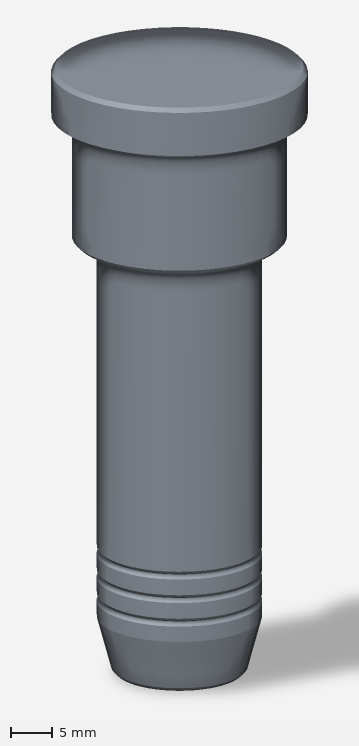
import cadquery as cq
import math

length = 77.0
edge_break = 0.5

head_diameter = 31.0
head_height = 6.0

collar_diameter = 26.0
collar_bottom_depth = 22.0

neck_diameter = 18.9
neck_height = 1.0

shaft_diameter = 20.0
taper_height = 7.0
taper_angle = 15.0

groove_width = 1.0
groove_depth = 0.5
groove_count = 3
groove_pitch = 3.0
lowest_groove_z = 9.5


def disc(diameter, bottom, top):
    """Cylinder about the Z axis between two heights."""
    return cq.Workplane("XY").workplane(offset=bottom).circle(diameter / 2).extrude(top - bottom)


def groove(diameter, center_z):
    """Ring cutter for a V-groove in a cylinder of the given diameter."""
    outer = diameter / 2
    profile = [
        (outer, center_z - groove_width / 2),
        (outer - groove_depth, center_z),
        (outer, center_z + groove_width / 2),
    ]
    return cq.Workplane("XZ").polyline(profile).close().revolve(360, (0, 0), (0, 1))


def tapered_tip():
    """Cone widening from the chamfered end face up to the shaft."""
    shaft_radius = shaft_diameter / 2
    slope = math.tan(math.radians(taper_angle))
    chamfer_radius = shaft_radius - (taper_height - edge_break) * slope
    profile = [
        (0, 0),
        (chamfer_radius - edge_break, 0),
        (chamfer_radius, edge_break),
        (shaft_radius, taper_height),
        (0, taper_height),
    ]
    return cq.Workplane("XZ").polyline(profile).close().revolve(360, (0, 0), (0, 1))


head_bottom = length - head_height
collar_bottom = length - collar_bottom_depth
shaft_top = collar_bottom - neck_height

head = disc(head_diameter, head_bottom, length).faces(">Z").chamfer(edge_break)
collar = disc(collar_diameter, collar_bottom, head_bottom).faces("<Z").chamfer(edge_break)
neck = disc(neck_diameter, shaft_top, collar_bottom)
shaft = disc(shaft_diameter, taper_height, shaft_top)
result = head.union(collar).union(neck).union(shaft).union(tapered_tip())

result = result.cut(groove(collar_diameter, head_bottom - groove_width / 2))
for index in range(groove_count):
    result = result.cut(groove(shaft_diameter, lowest_groove_z + index * groove_pitch))